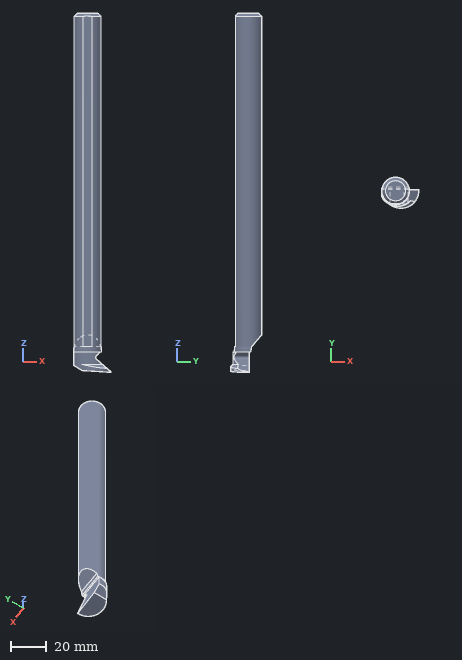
import cadquery as cq
import math

tool_length = 201.2
joint_z = 11.5

shank_radius = 7.6
flat_distance = 7.2
end_chamfer = 2.0
collar_radius = 7.8
collar_start_z = 14.5
collar_z = 12.7
relief_start_z = 21.1
relief_end_z = 14.5
relief_end_y = 2.0
seat_y = 1.5

rake_y = 0.6
body_radius = 10.0
body_center_x = 1.0
body_center_y = 1.5
left_x = -collar_radius
side_blend_radius = 4.0

swing_radius = 10.0
swing_center_y = 0.2
tip_x = 13.0
swing_center_x = tip_x - swing_radius
flange_z = 4.6
cone_height = 4.5
left_heel_z = 4.0
heel_x = -3.0
heel_z = 1.0
tip_thickness = 0.5
notch_radius = 1.5
notch_center_x = 6.0
notch_center_z = 8.5


def make_shank():
    bar = (
        cq.Workplane("XY").workplane(offset=collar_start_z)
        .circle(shank_radius).extrude(tool_length - collar_start_z)
        .faces(">Z").chamfer(end_chamfer)
    )
    flat_cutter = cq.Workplane("XY").box(
        2 * shank_radius, shank_radius, tool_length, centered=(True, False, False)
    ).translate((0, -flat_distance - shank_radius, collar_start_z))
    collar = (
        cq.Workplane("XZ")
        .moveTo(0, joint_z)
        .lineTo(collar_radius, joint_z)
        .lineTo(collar_radius, collar_z)
        .lineTo(shank_radius, collar_start_z)
        .lineTo(0, collar_start_z)
        .close()
        .revolve(360, (0, 0, 0), (0, 1, 0))
    )
    relief = (
        cq.Workplane("YZ")
        .moveTo(shank_radius, relief_start_z)
        .lineTo(relief_end_y, relief_end_z)
        .lineTo(seat_y, joint_z)
        .lineTo(2 * shank_radius, joint_z)
        .lineTo(2 * shank_radius, relief_start_z)
        .close()
        .extrude(collar_radius, both=True)
    )
    return bar.cut(flat_cutter).union(collar).cut(relief)


def make_insert_side_profile():
    """Side outline with the heel, the tip and the rounded chip notch, extruded along Y."""
    tip_dx = tip_x - notch_center_x
    tip_dz = tip_thickness - notch_center_z
    tip_distance = math.hypot(tip_dx, tip_dz)
    ramp_angle = math.atan2(tip_dz, tip_dx) - math.acos(notch_radius / tip_distance)
    upper_angle = math.radians(135)

    def on_notch(angle):
        return (
            notch_center_x + notch_radius * math.cos(angle),
            notch_center_z + notch_radius * math.sin(angle),
        )

    upper_point = on_notch(upper_angle)
    shoulder_x = upper_point[0] + joint_z - upper_point[1]
    return (
        cq.Workplane("XZ")
        .moveTo(left_x, joint_z)
        .lineTo(shoulder_x, joint_z)
        .lineTo(*upper_point)
        .threePointArc(on_notch(math.pi), on_notch(ramp_angle))
        .lineTo(tip_x, tip_thickness)
        .lineTo(tip_x, 0)
        .lineTo(heel_x, heel_z)
        .lineTo(left_x, left_heel_z)
        .close()
        .extrude(2 * swing_radius, both=True)
    )


def make_insert_plan_limit():
    """Block bounded by the rake face on +Y and the plane left side on -X."""
    return cq.Workplane("XY").box(
        4 * swing_radius, 2 * swing_radius, joint_z, centered=False
    ).translate((left_x, rake_y - 2 * swing_radius, 0))


def make_insert():
    plan_limit = make_insert_plan_limit()
    body = (
        cq.Workplane("XY").center(body_center_x, body_center_y)
        .circle(body_radius).extrude(joint_z)
        .intersect(plan_limit)
        .edges("|Z and (not >Y)").edges("<X").fillet(side_blend_radius)
    )
    cone_base_radius = body_radius + flange_z
    flange_cone = cq.Workplane("XY").add(
        cq.Solid.makeCone(
            cone_base_radius, cone_base_radius - cone_height, cone_height,
            pnt=cq.Vector(body_center_x, body_center_y, 0),
        )
    )
    swing = (
        cq.Workplane("XY").center(swing_center_x, swing_center_y)
        .circle(swing_radius).extrude(joint_z)
    )
    flange = flange_cone.intersect(swing).intersect(plan_limit)
    return body.union(flange).intersect(make_insert_side_profile())


shank = make_shank()
insert = make_insert()
result = cq.Compound.makeCompound([shank.val(), insert.val()])